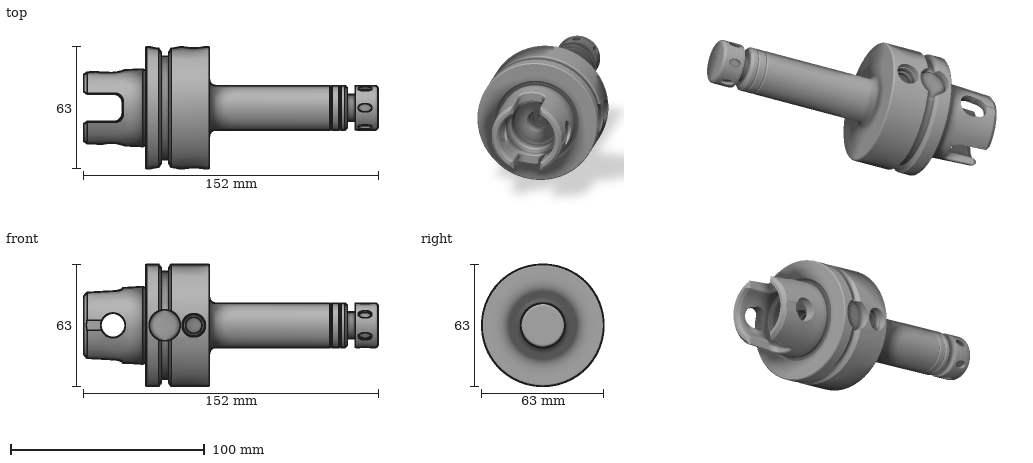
import cadquery as cq
SHANK_LENGTH = 32.0
PROJECTION = 120.0

TAPER_BASE_RADIUS = 20.1
TAPER_SLOPE = 0.05
TIP_CHAMFER_LENGTH = 2.0
TIP_CHAMFER_DEPTH = 1.5
RELIEF_OUTER_RADIUS = 22.0
RELIEF_INNER_RADIUS = 19.4
RELIEF_DEPTH = 1.0
RELIEF_RUNOUT = 1.5

FLANGE_RADIUS = 63.0 / 2
FLANGE_LENGTH = 33.0
FLANGE_CHAMFER = 0.5
FLANGE_END_FILLET = 1.0
GRIP_GROOVE_CENTER = 10.0
GRIP_GROOVE_WIDTH = 6.5
GRIP_GROOVE_FLOOR_WIDTH = 3.7
GRIP_GROOVE_FLOOR_RADIUS = 27.85
GRIP_FLANK_DEPTH = 2.0

SPINDLE_RADIUS = 23.0 / 2
SPINDLE_END = 104.2
SPINDLE_CHAMFER = 1.3
ROOT_FILLET = 3.0
RING_GROOVE_CENTERS = (95.7, 100.3)
RING_GROOVE_WIDTH = 1.4
RING_GROOVE_DEPTH = 0.5
NECK_RADIUS = 14.0 / 2

NUT_START = 108.2
NUT_BACK_CHAMFER = 1.0
NUT_BACK_CHAMFER_DEPTH = 0.2
NUT_FRONT_FILLET = 1.7
NUT_POCKET_COUNT = 6
NUT_POCKET_CENTER = 113.3
NUT_POCKET_LENGTH = 7.0
NUT_POCKET_WIDTH = 4.3
NUT_POCKET_DEPTH = 2.0

BORE_RADIUS = 14.5
BORE_MOUTH_RADIUS = 15.5
BORE_MOUTH_CHAMFER = 2.2
BORE_END = -8.5
SHOULDER_CONE_LENGTH = 0.8
INNER_BORE_RADIUS = 12.2
INNER_BORE_FILLET = 1.4
BORE_FLOOR = 0.5

COOLANT_MOUTH_RADIUS = 11.0 / 2
COOLANT_CONE_RADIUS = 8.79 / 2
COOLANT_CONE_DEPTH = 4.0
COOLANT_STEPS = (
    (7.3 / 2, 6.0),
    (7.0 / 2, 8.0),
    (3.5 / 2, 10.0),
    (3.0 / 2, 12.0),
    (1.7 / 2, 14.0),
)

SLOT_WIDTH = 14.0
SLOT_END = -12.1
SLOT_CORNER_RADIUS = 4.0
SLOT_OUTER_CHAMFER = 0.6
SLOT_INNER_CHAMFER = 0.4
SLOT_MOUTH_FLARE = 1.4

CROSS_HOLE_DIAMETER = 12.5
CROSS_HOLE_CENTER = -16.8
RELEASE_HOLE_DIAMETER = 11.0
RELEASE_HOLE_CENTER = -20.4
KEY_FLAT_WIDTH = 5.0
KEY_FLAT_HEIGHT = 18.2

POCKET_DIAMETER = 16.0
POCKET_CENTER = 9.9
POCKET_FLOOR = 26.0
SCREW_HOLE_CENTER = 24.9
SCREW_HOLE_MOUTH_DIAMETER = 12.0
SCREW_HOLE_MOUTH_FLOOR = 28.0
SCREW_HOLE_DIAMETER = 11.0
SCREW_HOLE_FLOOR = 25.0
SCREW_PILOT_DIAMETER = 8.5
SCREW_PILOT_FLOOR = 23.0


def revolve_about_x(profile):
    """Turn a closed (x, radius) profile about the X axis."""
    return profile.close().revolve(360, (0, 0, 0), (1, 0, 0))


def taper_radius(x):
    return TAPER_BASE_RADIUS + TAPER_SLOPE * x


def make_body():
    profile = (
        cq.Workplane("XY")
        .moveTo(-SHANK_LENGTH, 0)
        .lineTo(-SHANK_LENGTH, taper_radius(-SHANK_LENGTH))
        .lineTo(-RELIEF_RUNOUT, taper_radius(-RELIEF_RUNOUT))
        .lineTo(0, RELIEF_INNER_RADIUS)
        .lineTo(RELIEF_DEPTH, RELIEF_INNER_RADIUS)
        .lineTo(RELIEF_DEPTH, RELIEF_OUTER_RADIUS - RELIEF_DEPTH)
        .lineTo(0, RELIEF_OUTER_RADIUS)
        .lineTo(0, FLANGE_RADIUS - FLANGE_CHAMFER)
        .lineTo(FLANGE_CHAMFER, FLANGE_RADIUS)
        .lineTo(FLANGE_LENGTH - FLANGE_END_FILLET, FLANGE_RADIUS)
        .radiusArc((FLANGE_LENGTH, FLANGE_RADIUS - FLANGE_END_FILLET), FLANGE_END_FILLET)
        .lineTo(FLANGE_LENGTH, SPINDLE_RADIUS + ROOT_FILLET)
        .radiusArc((FLANGE_LENGTH + ROOT_FILLET, SPINDLE_RADIUS), -ROOT_FILLET)
        .lineTo(SPINDLE_END - SPINDLE_CHAMFER, SPINDLE_RADIUS)
        .lineTo(SPINDLE_END, SPINDLE_RADIUS - SPINDLE_CHAMFER)
        .lineTo(SPINDLE_END, NECK_RADIUS)
        .lineTo(NUT_START, NECK_RADIUS)
        .lineTo(NUT_START, SPINDLE_RADIUS - NUT_BACK_CHAMFER_DEPTH)
        .lineTo(NUT_START + NUT_BACK_CHAMFER, SPINDLE_RADIUS)
        .lineTo(PROJECTION - NUT_FRONT_FILLET, SPINDLE_RADIUS)
        .radiusArc((PROJECTION, SPINDLE_RADIUS - NUT_FRONT_FILLET), NUT_FRONT_FILLET)
        .lineTo(PROJECTION, 0)
    )
    return revolve_about_x(profile)


def make_grip_groove():
    half_floor = GRIP_GROOVE_FLOOR_WIDTH / 2
    half_mouth = GRIP_GROOVE_WIDTH / 2
    flank_radius = FLANGE_RADIUS - GRIP_FLANK_DEPTH
    outside = FLANGE_RADIUS + 1
    profile = (
        cq.Workplane("XY")
        .moveTo(GRIP_GROOVE_CENTER - half_mouth, outside)
        .lineTo(GRIP_GROOVE_CENTER - half_mouth, FLANGE_RADIUS)
        .lineTo(GRIP_GROOVE_CENTER - half_floor, flank_radius)
        .lineTo(GRIP_GROOVE_CENTER - half_floor, GRIP_GROOVE_FLOOR_RADIUS)
        .lineTo(GRIP_GROOVE_CENTER + half_floor, GRIP_GROOVE_FLOOR_RADIUS)
        .lineTo(GRIP_GROOVE_CENTER + half_floor, flank_radius)
        .lineTo(GRIP_GROOVE_CENTER + half_mouth, FLANGE_RADIUS)
        .lineTo(GRIP_GROOVE_CENTER + half_mouth, outside)
    )
    return revolve_about_x(profile)


def make_ring_groove(center):
    half_width = RING_GROOVE_WIDTH / 2
    profile = (
        cq.Workplane("XY")
        .moveTo(center - half_width, SPINDLE_RADIUS)
        .lineTo(center, SPINDLE_RADIUS - RING_GROOVE_DEPTH)
        .lineTo(center + half_width, SPINDLE_RADIUS)
    )
    return revolve_about_x(profile)


def make_tip_chamfer():
    chamfer_end = -SHANK_LENGTH + TIP_CHAMFER_LENGTH
    chamfer_radius = taper_radius(chamfer_end)
    profile = (
        cq.Workplane("XY")
        .moveTo(-SHANK_LENGTH, chamfer_radius - TIP_CHAMFER_DEPTH)
        .lineTo(chamfer_end, chamfer_radius)
        .lineTo(-SHANK_LENGTH, chamfer_radius)
    )
    return revolve_about_x(profile)


def make_bore_mouth():
    mouth_end = -SHANK_LENGTH + BORE_MOUTH_CHAMFER
    profile = (
        cq.Workplane("XY")
        .moveTo(-SHANK_LENGTH, 0)
        .lineTo(-SHANK_LENGTH, BORE_MOUTH_RADIUS)
        .lineTo(mouth_end, BORE_RADIUS)
        .lineTo(mouth_end, 0)
    )
    return revolve_about_x(profile)


def make_bore():
    shoulder = BORE_END + SHOULDER_CONE_LENGTH
    profile = (
        cq.Workplane("XY")
        .moveTo(-SHANK_LENGTH, 0)
        .lineTo(-SHANK_LENGTH, BORE_RADIUS)
        .lineTo(BORE_END, BORE_RADIUS)
        .lineTo(shoulder, INNER_BORE_RADIUS + INNER_BORE_FILLET)
        .radiusArc((shoulder + INNER_BORE_FILLET, INNER_BORE_RADIUS), -INNER_BORE_FILLET)
        .lineTo(BORE_FLOOR - INNER_BORE_FILLET, INNER_BORE_RADIUS)
        .radiusArc((BORE_FLOOR, INNER_BORE_RADIUS - INNER_BORE_FILLET), INNER_BORE_FILLET)
        .lineTo(BORE_FLOOR, 0)
    )
    return revolve_about_x(profile)


def make_coolant_passage():
    step_start = BORE_FLOOR + COOLANT_CONE_DEPTH
    profile = (
        cq.Workplane("XY")
        .moveTo(BORE_FLOOR, 0)
        .lineTo(BORE_FLOOR, COOLANT_MOUTH_RADIUS)
        .lineTo(step_start, COOLANT_CONE_RADIUS)
    )
    for radius, depth in COOLANT_STEPS:
        profile = profile.lineTo(step_start, radius).lineTo(BORE_FLOOR + depth, radius)
        step_start = BORE_FLOOR + depth
    return revolve_about_x(profile.lineTo(step_start, 0))


def make_drive_slots():
    """A slot through both walls, open at the tip and rounded at its inner corners."""
    return (
        cq.Workplane("XY")
        .box(SHANK_LENGTH + SLOT_END, SLOT_WIDTH, 2 * FLANGE_RADIUS, centered=(False, True, True))
        .translate((-SHANK_LENGTH, 0, 0))
        .edges("|Z and >X")
        .fillet(SLOT_CORNER_RADIUS)
    )


def make_slot_flare():
    """Widening of the slots along the tip chamfer, as a wedge that starts ahead of the tip."""
    half_width = SLOT_WIDTH / 2
    half_mouth = half_width + 2 * SLOT_MOUTH_FLARE
    flare_start = -SHANK_LENGTH - TIP_CHAMFER_LENGTH
    flare_end = -SHANK_LENGTH + TIP_CHAMFER_LENGTH
    return (
        cq.Workplane("XY")
        .moveTo(flare_start, -half_mouth)
        .lineTo(flare_end, -half_width)
        .lineTo(flare_end, half_width)
        .lineTo(flare_start, half_mouth)
        .close()
        .extrude(FLANGE_RADIUS, both=True)
    )


def chamfer_slot_rims(body):
    """Break the rims of the slots where they meet the taper and the bore."""
    margin = 0.1
    outer_rims = []
    inner_rims = []
    for edge in body.edges("not |Z").vals():
        box = edge.BoundingBox()
        height = max(-box.zmin, box.zmax)
        within_width = max(-box.ymin, box.ymax) < SLOT_WIDTH / 2 + margin
        within_length = -SHANK_LENGTH + margin < box.xmax < SLOT_END + margin
        if not (within_width and within_length):
            continue
        if height > BORE_RADIUS + margin:
            outer_rims.append(edge)
        elif height > BORE_RADIUS / 2:
            inner_rims.append(edge)
    solid = body.val().chamfer(SLOT_OUTER_CHAMFER, None, outer_rims)
    return body.newObject([solid.chamfer(SLOT_INNER_CHAMFER, None, inner_rims)])


def make_side_cylinder(center, diameter, floor):
    """Cylinder along Y on the +Y side, from the floor distance out past the flange rim."""
    base = cq.Vector(center, floor, 0)
    solid = cq.Solid.makeCylinder(diameter / 2, FLANGE_RADIUS - floor, base, cq.Vector(0, 1, 0))
    return cq.Workplane(obj=solid)


def make_key_flat():
    length = CROSS_HOLE_CENTER + SHANK_LENGTH
    return (
        cq.Workplane("XY")
        .box(length, TAPER_BASE_RADIUS, KEY_FLAT_WIDTH, centered=(False, False, True))
        .translate((-SHANK_LENGTH, KEY_FLAT_HEIGHT, 0))
    )


def make_side_cuts():
    """Everything cut into the +Y side that the -Y side carries as well."""
    return [
        make_side_cylinder(CROSS_HOLE_CENTER, CROSS_HOLE_DIAMETER, 0),
        make_side_cylinder(POCKET_CENTER, POCKET_DIAMETER, POCKET_FLOOR),
        make_side_cylinder(SCREW_HOLE_CENTER, SCREW_HOLE_MOUTH_DIAMETER, SCREW_HOLE_MOUTH_FLOOR),
        make_side_cylinder(SCREW_HOLE_CENTER, SCREW_HOLE_DIAMETER, SCREW_HOLE_FLOOR),
        make_side_cylinder(SCREW_HOLE_CENTER, SCREW_PILOT_DIAMETER, SCREW_PILOT_FLOOR),
        make_key_flat(),
    ]


def make_nut_pocket(angle):
    return (
        cq.Workplane("XY")
        .workplane(offset=SPINDLE_RADIUS - NUT_POCKET_DEPTH)
        .center(NUT_POCKET_CENTER, 0)
        .ellipse(NUT_POCKET_LENGTH / 2, NUT_POCKET_WIDTH / 2)
        .extrude(2 * NUT_POCKET_DEPTH)
        .rotate((0, 0, 0), (1, 0, 0), angle)
    )


body = make_body().cut(make_grip_groove())
for groove_center in RING_GROOVE_CENTERS:
    body = body.cut(make_ring_groove(groove_center))

body = body.cut(make_bore()).cut(make_coolant_passage())
body = chamfer_slot_rims(body.cut(make_drive_slots()))
body = body.cut(make_tip_chamfer()).cut(make_bore_mouth()).cut(make_slot_flare())

body = body.cut(make_side_cylinder(RELEASE_HOLE_CENTER, RELEASE_HOLE_DIAMETER, 0))
for side_cut in make_side_cuts():
    body = body.cut(side_cut).cut(side_cut.mirror("XZ"))

for pocket_index in range(NUT_POCKET_COUNT):
    body = body.cut(make_nut_pocket(pocket_index * 360 / NUT_POCKET_COUNT))

result = body